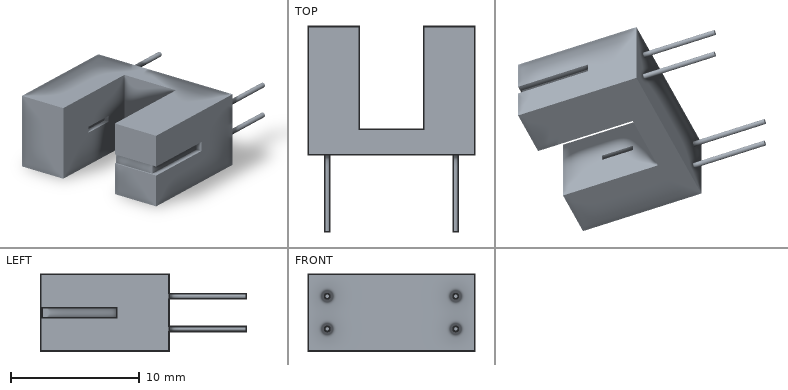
import cadquery as cq

body_width = 13.0
total_length = 16.0
body_height = 6.0
pin_length = 6.0
body_length = total_length - pin_length
gap_width = 5.0
gap_depth = 8.0

pin_diameter = 0.4
pin_spacing_x = 10.0
pin_spacing_z = 2.55

slit_height = 0.77
slit_length = 5.9
slit_depth = 0.46
tip_groove_depth = 0.13

aperture_height = 0.5
aperture_depth = 0.4
aperture_tip_offset = 3.31
aperture_length = slit_length - aperture_tip_offset

tip_y = body_length
outer_x = body_width / 2
gap_x = gap_width / 2


def box_from_tip(x_start, width, tip_offset, length, height):
    """Box centred on Z that runs toward -Y from an offset below the arm tips."""
    y_start = tip_y - tip_offset - length
    return (
        cq.Workplane("XY")
        .box(width, length, height, centered=(False, False, True))
        .translate((x_start, y_start, 0))
    )


def housing():
    body = box_from_tip(-outer_x, body_width, 0, body_length, body_height)
    gap = box_from_tip(-gap_x, gap_width, 0, gap_depth, body_height)
    return body.cut(gap)


def outer_slit():
    slit = box_from_tip(-outer_x, slit_depth, 0, slit_length, slit_height)
    arm_width = outer_x - gap_x
    tip_groove = box_from_tip(-outer_x, arm_width, 0, tip_groove_depth, slit_height)
    return slit.union(tip_groove)


def aperture():
    return box_from_tip(gap_x, aperture_depth, aperture_tip_offset, aperture_length, aperture_height)


def pins():
    return (
        cq.Workplane("XZ")
        .rarray(pin_spacing_x, pin_spacing_z, 2, 2)
        .circle(pin_diameter / 2)
        .extrude(pin_length)
    )


result = housing().cut(outer_slit()).cut(aperture()).union(pins())